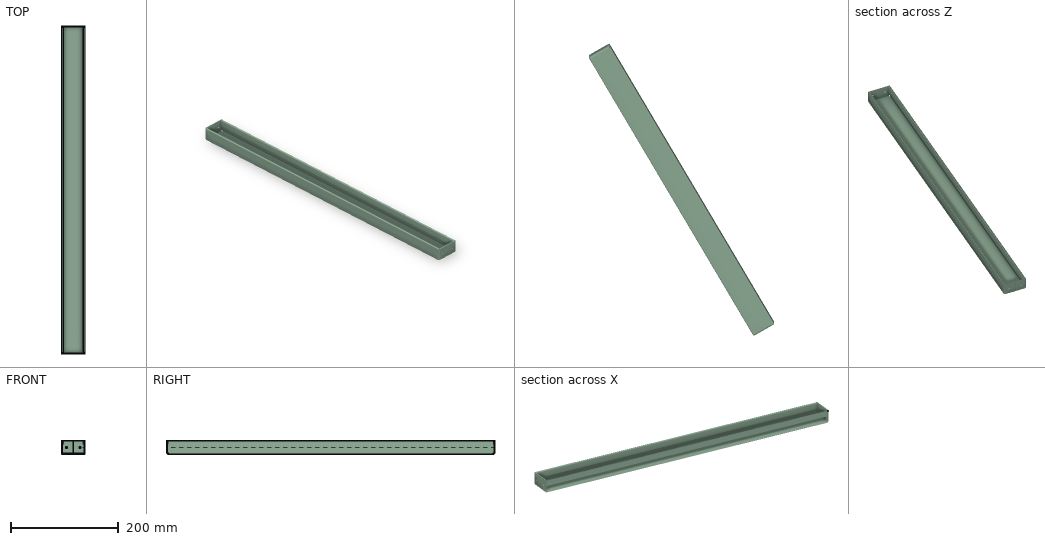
import cadquery as cq

width = 44.45
length = 607.77
height = 25.4

thickness = 0.86
inner_radius = 1.02
outer_radius = inner_radius + thickness

hem_bottom = height / 2
hem_end_clearance = 0.5

relief_height = 2.1
relief_length = 1.4

hole_diameter = 3.26
hole_offset = 12.7
hole_height = height / 2
seam_gap = 0.4

wall_face = width / 2
wall_inside = wall_face - thickness
hem_face = wall_face - 2 * outer_radius
end_face = length / 2
end_inside = end_face - thickness
lip_inside = end_inside - thickness
floor_half_width = wall_face - outer_radius
floor_half_length = end_inside - outer_radius
wall_half_length = end_face - outer_radius


def both_ends(body):
    """Join a body at the +Y end with its mirror image at the -Y end."""
    return body.union(body.mirror("XZ"))


def make_floor():
    """Flat floor whose two ends bend up into lips that stand inside the end flaps."""
    half_outline = (
        cq.Workplane("YZ")
        .lineTo(floor_half_length, 0)
        .radiusArc((end_inside, outer_radius), -outer_radius)
        .lineTo(end_inside, height)
        .lineTo(lip_inside, height)
        .lineTo(lip_inside, outer_radius)
        .radiusArc((floor_half_length, thickness), inner_radius)
        .lineTo(0, thickness)
        .close()
    )
    return both_ends(half_outline.extrude(floor_half_width, both=True))


def block(x_range, y_range, z_range):
    """Rectangular block between the given limits."""
    limits = (x_range, y_range, z_range)
    sizes = [upper - lower for lower, upper in limits]
    corner = tuple(lower for lower, upper in limits)
    return cq.Workplane("XY").box(*sizes, centered=False).translate(corner)


def make_wall():
    """Side wall at +X with its bottom bend and its open hem, trimmed at both ends."""
    roll_height = height - outer_radius
    outline = (
        cq.Workplane("XZ")
        .moveTo(floor_half_width, 0)
        .radiusArc((wall_face, outer_radius), -outer_radius)
        .lineTo(wall_face, roll_height)
        .threePointArc((floor_half_width, height), (hem_face, roll_height))
        .lineTo(hem_face, hem_bottom)
        .lineTo(hem_face + thickness, hem_bottom)
        .lineTo(hem_face + thickness, roll_height)
        .threePointArc((floor_half_width, height - thickness), (wall_inside, roll_height))
        .lineTo(wall_inside, outer_radius)
        .radiusArc((floor_half_width, thickness), inner_radius)
        .close()
    )
    wall = outline.extrude(wall_half_length, both=True)
    hem_trim = block(
        (hem_face, wall_inside),
        (wall_half_length - hem_end_clearance, wall_half_length),
        (hem_bottom, height),
    )
    corner_relief = block(
        (floor_half_width, wall_face),
        (wall_half_length - relief_length, wall_half_length),
        (0, relief_height),
    )
    return wall.cut(both_ends(hem_trim)).cut(both_ends(corner_relief))


def make_flap():
    """Flap bent inward from the +Y end of the +X wall, stopping at the seam."""
    return (
        cq.Workplane("XY", origin=(0, 0, relief_height))
        .moveTo(wall_face, wall_half_length)
        .radiusArc((floor_half_width, end_face), -outer_radius)
        .lineTo(seam_gap / 2, end_face)
        .lineTo(seam_gap / 2, end_inside)
        .lineTo(floor_half_width, end_inside)
        .radiusArc((wall_inside, wall_half_length), inner_radius)
        .close()
        .extrude(height - relief_height)
    )


def make_rivet_holes():
    """Cutters running the whole length, through the flaps and lips of both ends."""
    return (
        cq.Workplane("XZ")
        .pushPoints([(-hole_offset, hole_height), (hole_offset, hole_height)])
        .circle(hole_diameter / 2)
        .extrude(end_face, both=True)
    )


side = make_wall().union(both_ends(make_flap()))
tray = make_floor().union(side).union(side.mirror("YZ"))
result = tray.cut(make_rivet_holes())